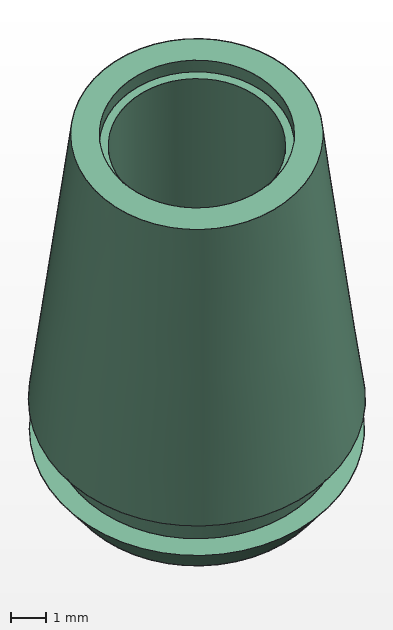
import cadquery as cq

total_height = 14.0
collar_height = 1.3
groove_height = 1.3
counterbore_depth = 0.5

collar_bottom_diameter = 7.98
collar_top_diameter = 9.45
groove_diameter = 8.2
taper_bottom_diameter = 9.5
taper_top_diameter = 7.11
bore_diameter = 5.0
counterbore_diameter = 5.5

taper_start = collar_height + groove_height

outer_profile = (
    cq.Workplane("XZ")
    .moveTo(0, 0)
    .lineTo(collar_bottom_diameter / 2, 0)
    .lineTo(collar_top_diameter / 2, collar_height)
    .lineTo(groove_diameter / 2, collar_height)
    .lineTo(groove_diameter / 2, taper_start)
    .lineTo(taper_bottom_diameter / 2, taper_start)
    .lineTo(taper_top_diameter / 2, total_height)
    .lineTo(0, total_height)
    .close()
)
body = outer_profile.revolve(360, (0, 0, 0), (0, 1, 0))

result = (
    body.faces(">Z")
    .workplane()
    .cboreHole(bore_diameter, counterbore_diameter, counterbore_depth)
)